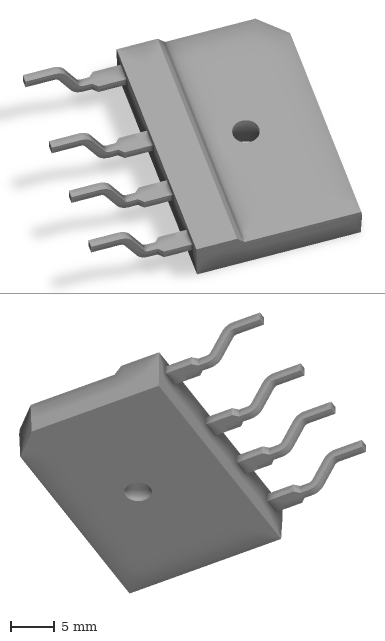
import cadquery as cq
import math

BODY_WIDTH = 30.3
TOTAL_LENGTH = 32.35
BODY_LENGTH = 20.2
PARTING_HEIGHT = 3.5
PLATE_HEIGHT = 4.1
RIDGE_HEIGHT = 5.1
RIDGE_DEPTH = 4.98
RIDGE_SLOPE_RUN = 0.9
CORNER_CUT = 3.3
LOWER_DRAFT = 2.0
BACK_DRAFT_RUN = 0.1

HOLE_DIAMETER = 3.2
HOLE_FROM_BACK = 9.3

FIRST_LEAD_PITCH = 10.0
LEAD_PITCH = 7.5
LEAD_THICKNESS = 1.1
LEAD_TOP = 7.85
LEAD_ROOT_TOP = PLATE_HEIGHT
LEAD_WIDE = 2.2
LEAD_NARROW = 1.0
LEAD_WIDE_LENGTH = 3.43
LEAD_TAPER_LENGTH = (LEAD_WIDE - LEAD_NARROW) / 2
LEAD_TIP_LENGTH = 3.53
BEND_ANGLE = 60.0
BEND_INNER_RADIUS = 0.6
LEAD_EMBED = 0.97

LEAD_LENGTH = TOTAL_LENGTH - BODY_LENGTH

FIRST_LEAD_X = -(FIRST_LEAD_PITCH + 2 * LEAD_PITCH) / 2
SECOND_LEAD_X = FIRST_LEAD_X + FIRST_LEAD_PITCH
LEAD_POSITIONS = (
    FIRST_LEAD_X,
    SECOND_LEAD_X,
    SECOND_LEAD_X + LEAD_PITCH,
    SECOND_LEAD_X + 2 * LEAD_PITCH,
)


def body_outline(plane_height):
    """Rectangle with one corner cut off at the back left."""
    half_width = BODY_WIDTH / 2
    return (
        cq.Workplane("XY", origin=(0, 0, plane_height))
        .moveTo(-half_width, 0)
        .lineTo(half_width, 0)
        .lineTo(half_width, BODY_LENGTH)
        .lineTo(-half_width + CORNER_CUT, BODY_LENGTH)
        .lineTo(-half_width, BODY_LENGTH - CORNER_CUT)
        .close()
    )


def make_lower_half():
    """Lower half, drafted inwards from the parting plane down."""
    return body_outline(PARTING_HEIGHT).extrude(-PARTING_HEIGHT, taper=LOWER_DRAFT)


def make_upper_half():
    """Upper half: thin plate with a raised ridge along the front and a leaning back face."""
    side_profile = (
        cq.Workplane("YZ", origin=(-BODY_WIDTH / 2, 0, 0))
        .moveTo(0, PARTING_HEIGHT)
        .lineTo(BODY_LENGTH, PARTING_HEIGHT)
        .lineTo(BODY_LENGTH - BACK_DRAFT_RUN, PLATE_HEIGHT)
        .lineTo(RIDGE_DEPTH + RIDGE_SLOPE_RUN, PLATE_HEIGHT)
        .lineTo(RIDGE_DEPTH, RIDGE_HEIGHT)
        .lineTo(0, RIDGE_HEIGHT)
        .close()
        .extrude(BODY_WIDTH)
    )
    outline = body_outline(PARTING_HEIGHT).extrude(RIDGE_HEIGHT - PARTING_HEIGHT)
    return side_profile.intersect(outline)


def make_lead_side():
    """Constant-thickness strip with two opposite bends that lift the lead tip."""
    angle = math.radians(BEND_ANGLE)
    middle_radius = BEND_INNER_RADIUS + LEAD_THICKNESS / 2
    rise = LEAD_TOP - LEAD_ROOT_TOP
    slope_length = (rise - 2 * middle_radius * (1 - math.cos(angle))) / math.sin(angle)
    run = 2 * middle_radius * math.sin(angle) + slope_length * math.cos(angle)

    tip_start = -LEAD_LENGTH + LEAD_TIP_LENGTH
    first_center = (tip_start + run, LEAD_ROOT_TOP + BEND_INNER_RADIUS)
    second_center = (tip_start, LEAD_TOP - LEAD_THICKNESS - BEND_INNER_RADIUS)
    outer_radius = BEND_INNER_RADIUS + LEAD_THICKNESS

    def on_bend(center, side, radius, turn):
        """Point on a bend; side is -1 below the centre and +1 above it."""
        y = center[0] + side * radius * math.sin(turn)
        z = center[1] + side * radius * math.cos(turn)
        return (y, z)

    def first_bend(radius, turn):
        return on_bend(first_center, -1, radius, turn)

    def second_bend(radius, turn):
        return on_bend(second_center, 1, radius, turn)

    half = angle / 2
    return (
        cq.Workplane("YZ", origin=(-LEAD_WIDE / 2, 0, 0))
        .moveTo(LEAD_EMBED, LEAD_ROOT_TOP)
        .lineTo(*first_bend(BEND_INNER_RADIUS, 0))
        .threePointArc(first_bend(BEND_INNER_RADIUS, half), first_bend(BEND_INNER_RADIUS, angle))
        .lineTo(*second_bend(outer_radius, angle))
        .threePointArc(second_bend(outer_radius, half), second_bend(outer_radius, 0))
        .lineTo(-LEAD_LENGTH, LEAD_TOP)
        .lineTo(-LEAD_LENGTH, LEAD_TOP - LEAD_THICKNESS)
        .lineTo(*second_bend(BEND_INNER_RADIUS, 0))
        .threePointArc(second_bend(BEND_INNER_RADIUS, half), second_bend(BEND_INNER_RADIUS, angle))
        .lineTo(*first_bend(outer_radius, angle))
        .threePointArc(first_bend(outer_radius, half), first_bend(outer_radius, 0))
        .lineTo(LEAD_EMBED, LEAD_ROOT_TOP - LEAD_THICKNESS)
        .close()
        .extrude(LEAD_WIDE)
    )


def make_lead_plan():
    """Wide root tapering to a narrow pin, as a block up to the lead top."""
    taper_end = -LEAD_WIDE_LENGTH - LEAD_TAPER_LENGTH
    return (
        cq.Workplane("XY")
        .moveTo(LEAD_WIDE / 2, LEAD_EMBED)
        .lineTo(LEAD_WIDE / 2, -LEAD_WIDE_LENGTH)
        .lineTo(LEAD_NARROW / 2, taper_end)
        .lineTo(LEAD_NARROW / 2, -LEAD_LENGTH)
        .lineTo(-LEAD_NARROW / 2, -LEAD_LENGTH)
        .lineTo(-LEAD_NARROW / 2, taper_end)
        .lineTo(-LEAD_WIDE / 2, -LEAD_WIDE_LENGTH)
        .lineTo(-LEAD_WIDE / 2, LEAD_EMBED)
        .close()
        .extrude(LEAD_TOP)
    )


def make_hole():
    """Cutter for the mounting hole through the plate."""
    return (
        cq.Workplane("XY")
        .center(0, BODY_LENGTH - HOLE_FROM_BACK)
        .circle(HOLE_DIAMETER / 2)
        .extrude(RIDGE_HEIGHT)
    )


body = make_lower_half().union(make_upper_half()).cut(make_hole())
lead = make_lead_side().intersect(make_lead_plan())
for lead_x in LEAD_POSITIONS:
    body = body.union(lead.translate((lead_x, 0, 0)))

result = body